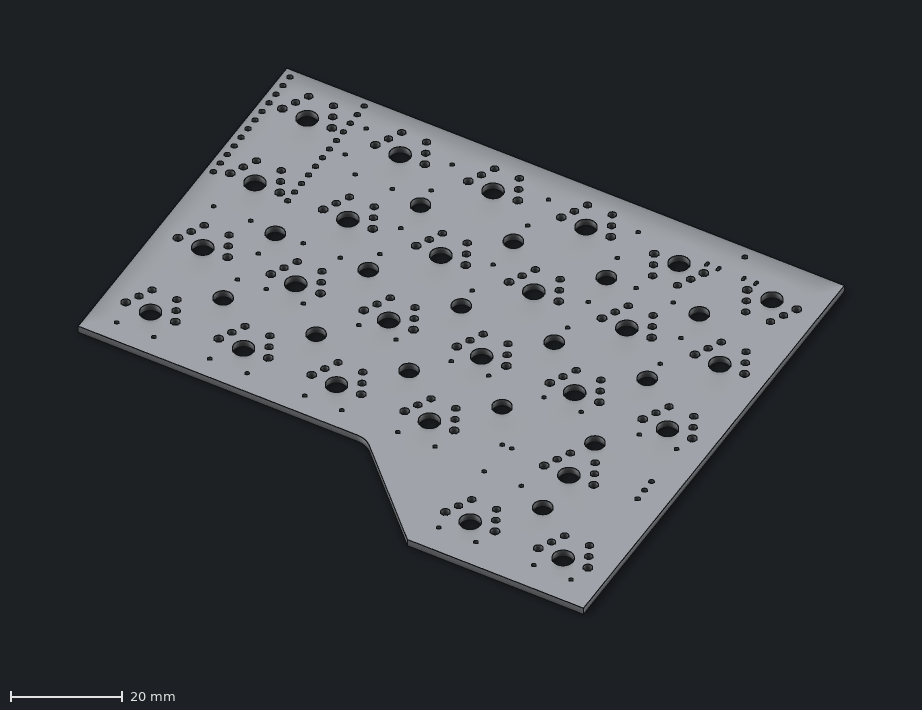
import cadquery as cq

WIDTH = 114.3
COLUMNS = 6
ROWS = 5
THICKNESS = 1.6
PITCH = WIDTH / COLUMNS
GRID = PITCH / 15
HEIGHT = ROWS * PITCH

CUT_DEPTH = PITCH
BOTTOM_EDGE_START_X = 21.0
INNER_CORNER_RADIUS = 4.6

SWITCH_POST_DIAMETER = 4.0
MOUNT_DIAMETER = 3.7
SWITCH_PEG_DIAMETER = 1.7
SWITCH_PIN_DIAMETER = 1.5
HEADER_DIAMETER = 1.1
SOCKET_DIAMETER = 1.0
LEAD_DIAMETER = 0.8

PEG_OFFSET = 4 * GRID
PIN_OFFSETS = [(3 * GRID, 2 * GRID), (2 * GRID, 4 * GRID)]

CONNECTOR_PITCH = 2 * GRID

HEADER_PINS = 12
HEADER_CENTER_X = -47.9
HEADER_SPACING = 12 * GRID
HEADER_TOP_Y = 45.8

LEAD_SPACING = 6 * GRID
UPRIGHT_PAIRS = [
    (-37.1, 37.1), (-19.2, 36.6), (0.2, 37.1), (18.3, 37.7),
    (-19.2, 17.8), (-0.2, 17.7), (19.3, 17.7), (38.3, 17.7),
    (-38.2, -0.3),
]
FLAT_PAIRS = [
    (-29.3, 29.7), (28.8, 28.8), (-47.3, 10.2), (-28.7, 9.7),
    (-28.7, -3.8), (-9.7, -3.8), (9.3, -3.8), (28.2, -3.8), (47.8, -3.8),
    (-47.8, -24.3), (-28.7, -24.3), (-9.3, -24.3), (9.8, -24.3),
    (28.2, -25.6), (28.2, -42.2), (47.8, -42.3),
]

SOCKET_X = 51.8
SOCKET_TOP_Y = -13.3
SOCKET_PINS = 3
CLOSE_LEADS = [(23.9, -18.1), (25.8, -18.1)]
LONE_HOLE = (38.1, 45.3)

SLOT_XS = [33.0, 35.4, 40.6, 43.1]
SLOT_Y = 40.3
SLOT_LENGTH = 1.1
SLOT_WIDTH = 0.6


def key_x(column):
    """X of a key column, counted from 0 at the left; halves lie between columns."""
    return (column - (COLUMNS - 1) / 2) * PITCH


def key_y(row):
    """Y of a key row, counted from 0 at the top; halves lie between rows."""
    return ((ROWS - 1) / 2 - row) * PITCH


def key_points(cells):
    return [(key_x(column), key_y(row)) for column, row in cells]


def board():
    """Plate with its lower left corner cut away and the inner corner rounded."""
    right = WIDTH / 2
    top = HEIGHT / 2
    step_y = -top + CUT_DEPTH
    step_x = BOTTOM_EDGE_START_X - CUT_DEPTH
    blank = (
        cq.Workplane("XY")
        .polyline([
            (-right, top), (right, top), (right, -top),
            (BOTTOM_EDGE_START_X, -top), (step_x, step_y), (-right, step_y),
        ])
        .close()
        .extrude(THICKNESS)
    )
    inner_corner = cq.NearestToPointSelector((step_x, step_y, THICKNESS / 2))
    return blank.edges(inner_corner).fillet(INNER_CORNER_RADIUS)


def round_holes(points, diameter):
    return cq.Workplane("XY").pushPoints(points).circle(diameter / 2).extrude(THICKNESS)


def slots():
    centers = [(x, SLOT_Y) for x in SLOT_XS]
    return (
        cq.Workplane("XY")
        .pushPoints(centers)
        .slot2D(SLOT_LENGTH, SLOT_WIDTH, 90)
        .extrude(THICKNESS)
    )


def upright_leads(centers):
    return [(x, y + side * LEAD_SPACING / 2) for x, y in centers for side in (-1, 1)]


def flat_leads(centers):
    return [(x + side * LEAD_SPACING / 2, y) for x, y in centers for side in (-1, 1)]


def switch_holes(centers, pin_side):
    """Post, two pegs and four pins per switch; pin_side is 1 for pins above, -1 for below."""
    pegs = [(x + side * PEG_OFFSET, y) for x, y in centers for side in (-1, 1)]
    pins = [
        (x + side * dx, y + pin_side * dy)
        for x, y in centers
        for dx, dy in PIN_OFFSETS
        for side in (-1, 1)
    ]
    return [
        round_holes(centers, SWITCH_POST_DIAMETER),
        round_holes(pegs, SWITCH_PEG_DIAMETER),
        round_holes(pins, SWITCH_PIN_DIAMETER),
    ]


flipped_cells = [(4, 0), (5, 0)]
grid_cells = [(column, row) for row in range(3) for column in range(COLUMNS)]
upright_cells = [cell for cell in grid_cells if cell not in flipped_cells]
upright_cells += [(column, 3) for column in range(4)]
upright_cells += [(4.5, 3), (4, 4), (5, 4)]

mount_cells = [(column + 0.5, row + 0.5) for row in range(3) for column in range(COLUMNS - 1)]
mount_cells.remove((0.5, 0.5))
mount_cells.append((4.5, 3.5))

header_points = [
    (HEADER_CENTER_X + side * HEADER_SPACING / 2, HEADER_TOP_Y - pin * CONNECTOR_PITCH)
    for pin in range(HEADER_PINS)
    for side in (-1, 1)
]
socket_points = [(SOCKET_X, SOCKET_TOP_Y - pin * CONNECTOR_PITCH) for pin in range(SOCKET_PINS)]
lead_points = upright_leads(UPRIGHT_PAIRS) + flat_leads(FLAT_PAIRS) + CLOSE_LEADS

cutters = [
    *switch_holes(key_points(upright_cells), 1),
    *switch_holes(key_points(flipped_cells), -1),
    round_holes(key_points(mount_cells), MOUNT_DIAMETER),
    round_holes(header_points, HEADER_DIAMETER),
    round_holes(socket_points + [LONE_HOLE], SOCKET_DIAMETER),
    round_holes(lead_points, LEAD_DIAMETER),
    slots(),
]

result = board()
for cutter in cutters:
    result = result.cut(cutter)